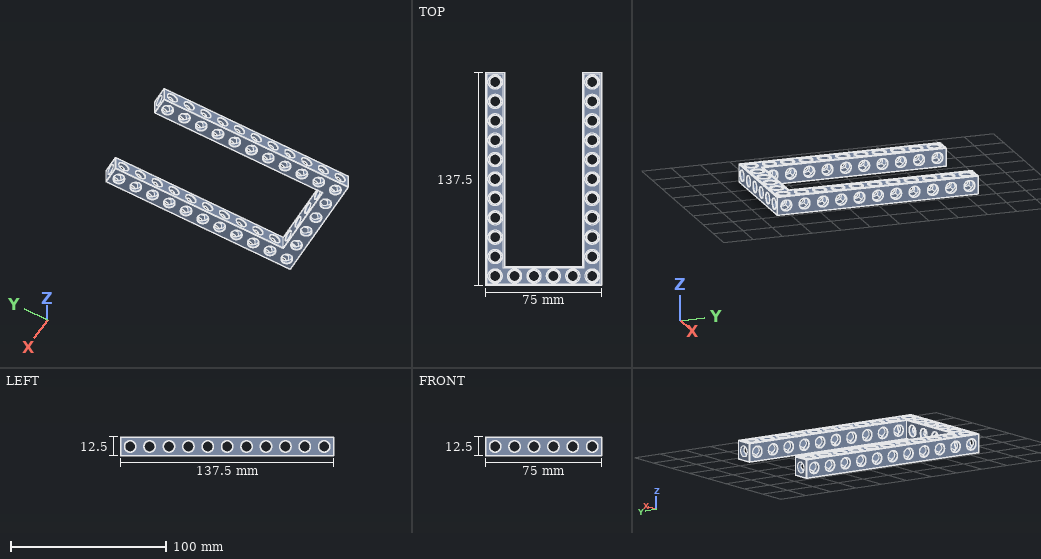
import cadquery as cq

length = 137.5
holes_along_arm = 11
holes_along_base = 6
pitch = length / holes_along_arm
width = holes_along_base * pitch
height = pitch

bore_diameter = 7.0
edge_chamfer = 0.3
mouth_diameter = bore_diameter + 2 * edge_chamfer

rim_width = 1.1
ring_diameter = 9.2
recess_depth = 0.2

column_x = [(i + 0.5) * pitch - width / 2 for i in range(holes_along_base)]
row_y = [(i + 0.5) * pitch for i in range(holes_along_arm)]
arm_x = [column_x[0], column_x[-1]]
base_y = row_y[0]
base_points = [(x, base_y) for x in column_x]
arm_points = [(x, y) for x in arm_x for y in row_y[1:]]
hole_points = base_points + arm_points


def u_plate(inset, bottom_z, thickness):
    """U-shaped plate whose every side is moved inward by inset."""
    outer_x = width / 2 - inset
    inner_x = width / 2 - pitch + inset
    front_y = inset
    notch_y = pitch - inset
    back_y = length - inset
    outline = [
        (-outer_x, front_y),
        (outer_x, front_y),
        (outer_x, back_y),
        (inner_x, back_y),
        (inner_x, notch_y),
        (-inner_x, notch_y),
        (-inner_x, back_y),
        (-outer_x, back_y),
    ]
    return cq.Workplane("XY", origin=(0, 0, bottom_z)).polyline(outline).close().extrude(thickness)


def chamfered_frame():
    """Solid U with all edges broken except the two vertical inner corners."""
    frame = u_plate(0, 0, height)
    return frame.edges("(|Z and (<Y or >Y)) or >Z or <Z").chamfer(edge_chamfer)


def top_recess():
    """Pocket inside the rim, with a ring spared around each hole."""
    floor_z = height - recess_depth
    rings = (
        cq.Workplane("XY", origin=(0, 0, floor_z))
        .pushPoints(hole_points)
        .circle(ring_diameter / 2)
        .extrude(recess_depth)
    )
    return u_plate(rim_width, floor_z, recess_depth).cut(rings)


def bar_hole(start, direction):
    """Bore through one bar thickness, countersunk at both ends."""
    axis = cq.Vector(*direction)
    entry = cq.Vector(*start)
    leave = entry + axis * pitch
    bore_radius = bore_diameter / 2
    mouth_radius = mouth_diameter / 2
    bore = cq.Solid.makeCylinder(bore_radius, pitch, entry, axis)
    entry_mouth = cq.Solid.makeCone(mouth_radius, bore_radius, edge_chamfer, entry, axis)
    leave_mouth = cq.Solid.makeCone(mouth_radius, bore_radius, edge_chamfer, leave, -axis)
    return bore.fuse(entry_mouth, leave_mouth)


def long_bore(start, direction, depth):
    """Plain bore running lengthwise through a whole bar."""
    return cq.Solid.makeCylinder(bore_diameter / 2, depth, cq.Vector(*start), cq.Vector(*direction))


along_x = (1, 0, 0)
along_y = (0, 1, 0)
along_z = (0, 0, 1)
mid_z = height / 2

holes = [bar_hole((x, y, 0), along_z) for x, y in hole_points]
holes += [bar_hole((x, 0, mid_z), along_y) for x in column_x]
holes += [bar_hole((x - pitch / 2, y, mid_z), along_x) for x in arm_x for y in row_y]
holes += [long_bore((x, 0, mid_z), along_y, length) for x in arm_x]
holes.append(long_bore((-width / 2, base_y, mid_z), along_x, width))

frame = chamfered_frame().cut(top_recess())
result = cq.Workplane(frame.val().cut(*holes))